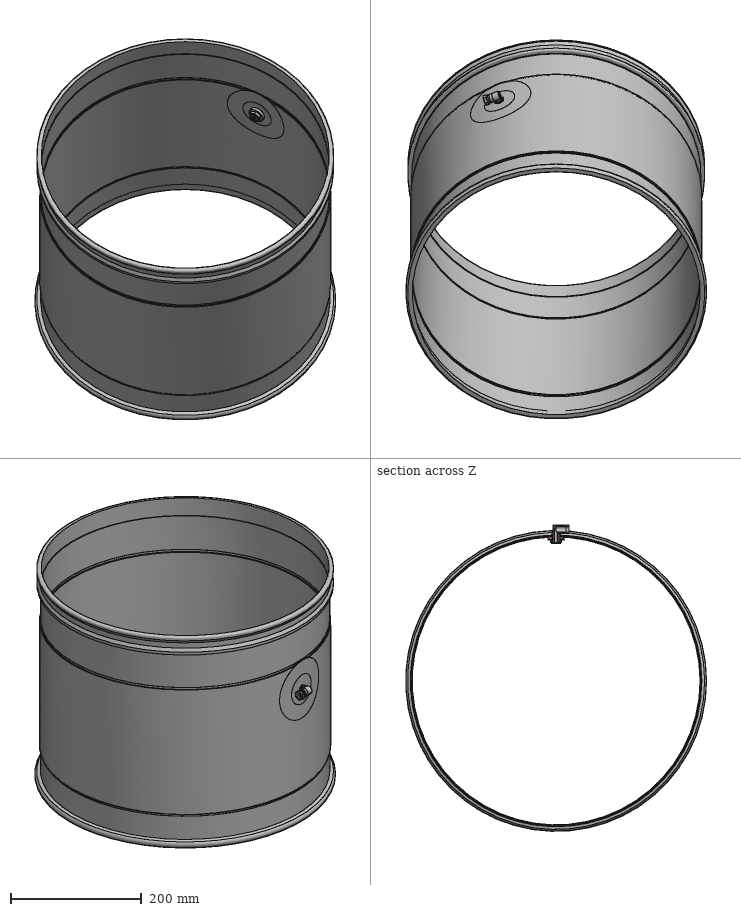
import cadquery as cq
import math

total_height = 365.9
ring_height = 31.0
ring_base = total_height - ring_height
band_bottom = 55.5
band_top = 272.5
groove_width = 3.4

end_inner_radius = 440.0 / 2
end_outer_radius = 442.54 / 2
groove_radius = 442.0 / 2
band_inner_radius = 440.69 / 2
band_outer_radius = 445.54 / 2
joggle_overlap = 1.0

foot_radius = 460.0 / 2
foot_neck_radius = 227.0
foot_bead_height = 10.5
foot_height = 11.8

ring_inner_radius = end_inner_radius
ring_bead_radius = 454.0 / 2
ring_valley_radius = 223.6
top_bead_height = 10.8
lower_bead_height = 11.0
bead_round = 2.9
valley_slope_height = 5.3
bottom_round = 2.0

port_height = 225.3
patch_diameter = 100.0
disc_diameter = 50.0
stem_diameter = 11.0
bore_diameter = 4.0

fitting_diameter = 13.4
arm_top = 238.55
arm_axis_y = arm_top - fitting_diameter / 2
arm_start = -5.1
arm_end = 13.0
arm_chamfer = 0.8
stem_end_y = arm_axis_y - fitting_diameter / 4
arm_shoulder = 5.9
arm_shoulder_end = 10.5
arm_waist_diameter = 12.9
neck_diameter = 12.0
collar_start = 15.3
collar_end = 20.0
arm_bore_diameter = 8.1
base_nut_flats = 13.5
base_nut_top = 224.6

washer_diameter = 25.0
washer_face_y = 215.7
nut_flats = 17.0
nut_face_y = 211.5
cap_diameter = 13.4
cap_face_y = 209.9


def cylinder_y(diameter, start, end):
    """Round bar along Y on the port axis."""
    plane = cq.Plane(origin=(0, start, port_height), xDir=(1, 0, 0), normal=(0, 1, 0))
    return cq.Workplane(plane).circle(diameter / 2).extrude(end - start)


def hexagon_y(flats, start, end):
    """Hexagonal bar along Y on the port axis, with corners pointing up and down."""
    plane = cq.Plane(origin=(0, start, port_height), xDir=(0, 0, 1), normal=(0, 1, 0))
    corners = flats / math.cos(math.pi / 6)
    return cq.Workplane(plane).polygon(6, corners).extrude(end - start)


def arm_plane(x):
    """Plane across the fitting's arm, facing along X."""
    return cq.Plane(origin=(x, arm_axis_y, port_height), xDir=(0, 0, 1), normal=(1, 0, 0))


def cylinder_x(diameter, start, end):
    """Round bar along X on the axis of the fitting's arm."""
    return cq.Workplane(arm_plane(start)).circle(diameter / 2).extrude(end - start)


def duct_core(radius):
    """Solid cylinder that fills the duct up to the given radius."""
    return cq.Workplane("XY").circle(radius).extrude(total_height)


def make_duct():
    """Thin tube with a widened middle band and a rolled bead at the foot."""
    bead_middle = foot_bead_height / 2
    outline = (
        cq.Workplane("XZ")
        .moveTo(end_inner_radius, 0)
        .lineTo(foot_neck_radius, 0)
        .threePointArc((foot_radius, bead_middle), (foot_neck_radius, foot_bead_height))
        .lineTo(end_outer_radius, foot_height)
        .lineTo(end_outer_radius, band_bottom - groove_width)
        .lineTo(groove_radius, band_bottom - groove_width)
        .lineTo(groove_radius, band_bottom)
        .lineTo(band_outer_radius, band_bottom)
        .lineTo(band_outer_radius, band_top)
        .lineTo(groove_radius, band_top)
        .lineTo(groove_radius, band_top + groove_width)
        .lineTo(end_outer_radius, band_top + groove_width)
        .lineTo(end_outer_radius, ring_base)
        .lineTo(end_inner_radius, ring_base)
        .lineTo(end_inner_radius, band_top - joggle_overlap)
        .lineTo(band_inner_radius, band_top - joggle_overlap)
        .lineTo(band_inner_radius, band_bottom + joggle_overlap)
        .lineTo(end_inner_radius, band_bottom + joggle_overlap)
        .close()
    )
    tube = outline.revolve(360, (0, 0, 0), (0, 1, 0))
    return tube.cut(cylinder_y(patch_diameter, 0, foot_radius))


def make_joint_ring():
    """Ring with two beads and a valley between them for the clamp."""
    round_middle = 1 - math.sqrt(0.5)
    top_bead_bottom = total_height - top_bead_height
    lower_bead_top = ring_base + lower_bead_height
    outline = (
        cq.Workplane("XZ")
        .moveTo(ring_inner_radius, ring_base)
        .lineTo(ring_bead_radius - bottom_round, ring_base)
        .threePointArc(
            (ring_bead_radius - bottom_round * round_middle, ring_base + bottom_round * round_middle),
            (ring_bead_radius, ring_base + bottom_round),
        )
        .lineTo(ring_bead_radius, lower_bead_top - valley_slope_height)
        .lineTo(ring_valley_radius, lower_bead_top)
        .lineTo(ring_valley_radius, top_bead_bottom)
        .lineTo(ring_bead_radius, top_bead_bottom + valley_slope_height)
        .lineTo(ring_bead_radius, total_height - bead_round)
        .threePointArc(
            (ring_bead_radius - bead_round * round_middle, total_height - bead_round * round_middle),
            (ring_bead_radius - bead_round, total_height),
        )
        .lineTo(ring_inner_radius, total_height)
        .close()
    )
    return outline.revolve(360, (0, 0, 0), (0, 1, 0))


def curved_disc(diameter, hole_diameter, outer_radius):
    """Disc with a hole, curved to follow the wall of the middle band."""
    disc = cylinder_y(diameter, 0, foot_radius)
    disc = disc.intersect(duct_core(outer_radius)).cut(duct_core(band_inner_radius))
    return disc.cut(cylinder_y(hole_diameter, 0, foot_radius))


def make_washer():
    """Inner washer, its back shaped to the inside of the band."""
    washer = cylinder_y(washer_diameter, washer_face_y, foot_radius)
    washer = washer.intersect(duct_core(band_inner_radius))
    return washer.cut(cylinder_y(stem_diameter, washer_face_y, foot_radius))


def make_inner_nut():
    nut = hexagon_y(nut_flats, nut_face_y, washer_face_y)
    return nut.cut(cylinder_y(stem_diameter, nut_face_y, washer_face_y))


def make_end_cap():
    cap = cylinder_y(cap_diameter, cap_face_y, nut_face_y)
    return cap.cut(cylinder_y(bore_diameter, cap_face_y, nut_face_y))


def make_base_nut():
    """Outer nut, its underside shaped to the outside of the port disc."""
    nut = hexagon_y(base_nut_flats, band_inner_radius, base_nut_top)
    nut = nut.cut(duct_core(band_outer_radius))
    return nut.cut(cylinder_y(stem_diameter, 0, foot_radius))


def make_elbow():
    """Elbow with its stem through the duct wall and its arm along +X."""
    arm = cylinder_x(fitting_diameter, arm_start, arm_shoulder).faces("<X").chamfer(arm_chamfer)
    waist = cylinder_x(arm_waist_diameter, arm_shoulder, arm_shoulder_end)
    flange = cylinder_x(fitting_diameter, arm_shoulder_end, arm_end)
    neck = cylinder_x(neck_diameter, arm_end, collar_start)
    stem = cylinder_y(stem_diameter, nut_face_y, stem_end_y)
    elbow = arm.union(waist).union(flange).union(neck).union(stem)
    elbow = elbow.cut(cylinder_x(arm_bore_diameter, 0, collar_start))
    elbow = elbow.cut(cylinder_y(bore_diameter, nut_face_y, arm_axis_y))
    return elbow


def make_collar():
    """Hexagonal collar on the open end of the arm."""
    corners = fitting_diameter / math.cos(math.pi / 6)
    outline = cq.Workplane(arm_plane(collar_start)).polygon(6, corners)
    collar = outline.extrude(collar_end - collar_start)
    return collar.cut(cylinder_x(arm_bore_diameter, collar_start, collar_end))


duct = make_duct()
joint_ring = make_joint_ring()
patch_ring = curved_disc(patch_diameter, disc_diameter, band_outer_radius)
port_disc = curved_disc(disc_diameter, stem_diameter, band_outer_radius)
washer = make_washer()
inner_nut = make_inner_nut()
end_cap = make_end_cap()
base_nut = make_base_nut()
elbow = make_elbow()
collar = make_collar()

bodies = [
    duct,
    joint_ring,
    patch_ring,
    port_disc,
    washer,
    inner_nut,
    end_cap,
    base_nut,
    elbow,
    collar,
]
result = cq.Compound.makeCompound([body.solids().val() for body in bodies])